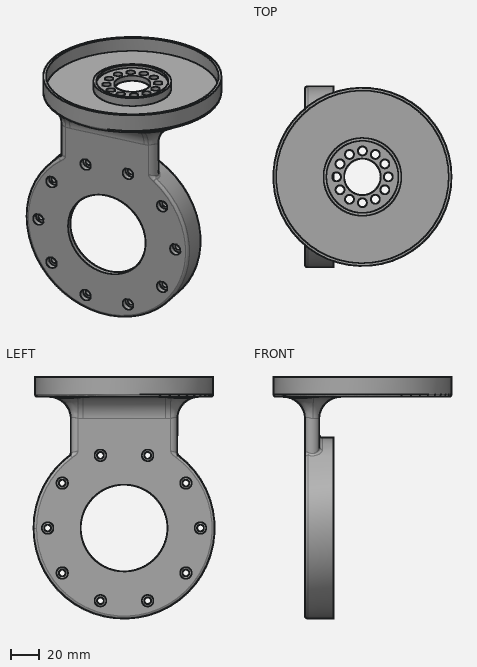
import cadquery as cq

TOTAL_HEIGHT = 168.0
DISH_RADIUS = 62.0
DISH_HEIGHT = 14.0
DISH_WALL = 2.0
DISH_FLOOR = 4.0

HUB_RADIUS = 27.0
HUB_HEIGHT = 6.0
HUB_RECESS_RADIUS = 25.0
HUB_RECESS_DEPTH = 2.0
HUB_HOLLOW_RADIUS = 23.0
HUB_WEB = 4.0
HUB_BORE_RADIUS = 12.6
HUB_HOLE_COUNT = 12
HUB_HOLE_CIRCLE_RADIUS = 18.0
HUB_HOLE_DIAMETER = 6.0
HUB_CUT_OVERRUN = 1.0

RING_RADIUS = 63.0
RING_DEPTH = 20.0
RING_FRONT_X = -40.0
RING_WALL = 3.0
SCREW_FLANGE_INNER_RADIUS = 46.0
RING_FLOOR = 4.0
RING_BORE_RADIUS = 30.0
SCREW_COUNT = 10
SCREW_CIRCLE_RADIUS = 53.1
SCREW_HOLE_DIAMETER = 4.5
COUNTERBORE_DIAMETER = 8.0
COUNTERBORE_DEPTH = 4.5

NECK_WIDTH = 74.3
NECK_THICKNESS = 10.0
FLARE_RADIUS = 15.0

EDGE_RADIUS = 2.0
TOLERANCE = 0.02

dish_top_z = TOTAL_HEIGHT - RING_RADIUS
dish_bottom_z = dish_top_z - DISH_HEIGHT
dish_floor_z = dish_bottom_z + DISH_FLOOR
hub_recess_z = dish_floor_z + HUB_HEIGHT - HUB_RECESS_DEPTH
neck_x = RING_FRONT_X + NECK_THICKNESS / 2
neck_back_x = RING_FRONT_X + NECK_THICKNESS


def upright_disc(radius, bottom_z, top_z):
    return cq.Workplane("XY", origin=(0, 0, bottom_z)).circle(radius).extrude(top_z - bottom_z)


def ring_disc(radius, start_x, end_x):
    return cq.Workplane("YZ", origin=(start_x, 0, 0)).circle(radius).extrude(end_x - start_x)


def round_edges(body, radius, is_wanted):
    """Fillet the edges whose bounding box passes the test."""
    edges = [edge for edge in body.edges().vals() if is_wanted(edge.BoundingBox())]
    return body.newObject(edges).fillet(radius)


def make_neck():
    section = cq.Workplane("XY", origin=(neck_x, 0, 0)).slot2D(NECK_WIDTH, NECK_THICKNESS, 90)
    return section.extrude(dish_bottom_z)


def make_rim_cutter():
    """Ring that leaves a quarter-round along the bottom rim of the dish."""
    inner_radius = DISH_RADIUS - EDGE_RADIUS
    outer_radius = DISH_RADIUS + EDGE_RADIUS
    below_z = dish_bottom_z - EDGE_RADIUS
    side_z = dish_bottom_z + EDGE_RADIUS
    return (
        cq.Workplane("XZ")
        .moveTo(inner_radius, below_z)
        .lineTo(inner_radius, dish_bottom_z)
        .radiusArc((DISH_RADIUS, side_z), -EDGE_RADIUS)
        .lineTo(outer_radius, side_z)
        .lineTo(outer_radius, below_z)
        .close()
        .revolve(360, (0, 0), (0, 1))
    )


def make_dish_on_neck():
    """Solid dish with a rounded bottom rim, flared into the neck below it."""
    def is_neck_top(box):
        level = max(abs(box.zmin - dish_bottom_z), abs(box.zmax - dish_bottom_z)) < TOLERANCE
        within_neck_width = max(-box.ymin, box.ymax) < NECK_WIDTH / 2 + TOLERANCE
        within_neck_depth = box.xmax < neck_back_x + TOLERANCE
        return level and within_neck_width and within_neck_depth

    dish = upright_disc(DISH_RADIUS, dish_bottom_z, dish_top_z)
    flared = round_edges(dish.union(make_neck()), FLARE_RADIUS, is_neck_top)
    return flared.cut(make_rim_cutter())


def make_ring_on_neck():
    """Solid ring blended with the neck, its front edge and the joint rounded alike."""
    def is_front_or_joint(box):
        below_dish = box.zmax < RING_RADIUS + TOLERANCE
        on_ring = box.xmax < neck_back_x + TOLERANCE and box.ymax - box.ymin > TOLERANCE
        return below_dish and on_ring

    ring = ring_disc(RING_RADIUS, RING_FRONT_X, RING_FRONT_X + RING_DEPTH)
    return round_edges(ring.union(make_neck()), EDGE_RADIUS, is_front_or_joint)


def hollow_dish(body):
    cavity = upright_disc(DISH_RADIUS - DISH_WALL, dish_floor_z, dish_top_z)
    hub = upright_disc(HUB_RADIUS, dish_floor_z, dish_floor_z + HUB_HEIGHT)
    recess = upright_disc(HUB_RECESS_RADIUS, hub_recess_z, dish_top_z)
    return body.cut(cavity.cut(hub)).cut(recess)


def open_hub(body):
    cut_start_z = dish_bottom_z - HUB_CUT_OVERRUN
    hollow = upright_disc(HUB_HOLLOW_RADIUS, cut_start_z, hub_recess_z - HUB_WEB)
    bore = upright_disc(HUB_BORE_RADIUS, cut_start_z, hub_recess_z)
    holes = (
        cq.Workplane("XY", origin=(0, 0, cut_start_z))
        .polarArray(HUB_HOLE_CIRCLE_RADIUS, 0, 360, HUB_HOLE_COUNT)
        .circle(HUB_HOLE_DIAMETER / 2)
        .extrude(hub_recess_z - cut_start_z)
    )
    return body.cut(hollow).cut(bore).cut(holes)


def hollow_ring(body):
    back_x = RING_FRONT_X + RING_DEPTH
    cavity = ring_disc(RING_RADIUS - RING_WALL, neck_back_x, back_x)
    floor_recess = ring_disc(SCREW_FLANGE_INNER_RADIUS, RING_FRONT_X + RING_FLOOR, back_x)
    bore = ring_disc(RING_BORE_RADIUS, RING_FRONT_X, back_x)
    return body.cut(cavity).cut(floor_recess).cut(bore)


def screw_pattern(diameter, depth):
    return (
        cq.Workplane("YZ", origin=(RING_FRONT_X, 0, 0))
        .polarArray(SCREW_CIRCLE_RADIUS, 0, 360, SCREW_COUNT)
        .circle(diameter / 2)
        .extrude(depth)
    )


result = make_ring_on_neck().union(make_dish_on_neck())
result = open_hub(hollow_dish(result))
result = hollow_ring(result)
result = result.cut(screw_pattern(SCREW_HOLE_DIAMETER, NECK_THICKNESS))
result = result.cut(screw_pattern(COUNTERBORE_DIAMETER, COUNTERBORE_DEPTH))